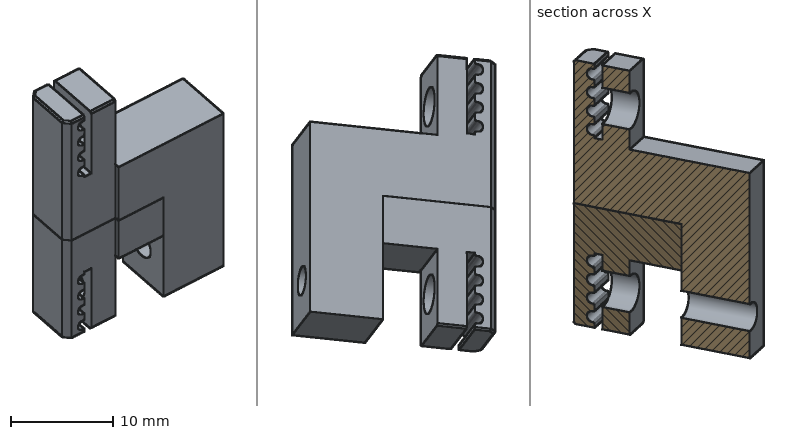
import cadquery as cq

height = 28.5
depth = 19.0
block_width = 6.5

arm_width = 6.0
arm_depth = 6.07
corner_chamfer = 0.65
end_chamfer = 0.2

block_top = 20.0
split_height = 13.0
recess_depth = 11.6
clamp_underside = 8.0

slot_length = 8.0
slot_front = 2.25
slot_back = 3.08
tooth_count = 4
tooth_pitch = 2.0
first_tooth_offset = 0.85
tooth_radius = 0.555
tooth_depth = 0.8
tooth_lip_radius = 0.15

screw_diameter = 2.9
screw_height = 4.4

arm_hole_diameter = 3.9


def box(x_size, y_range, z_range):
    """Box starting at x = 0 and spanning the given y and z ranges."""
    size = (x_size, y_range[1] - y_range[0], z_range[1] - z_range[0])
    return cq.Workplane().box(*size, centered=False).translate((0, y_range[0], z_range[0]))


def arm(z_range, open_face):
    """Front section with bevelled vertical corners and a chamfered open end."""
    body = box(arm_width, (0, arm_depth), z_range)
    body = body.faces("<Y").edges("|Z").chamfer(corner_chamfer)
    return body.faces(open_face).edges("not >Y").chamfer(end_chamfer)


def tooth_groove(z):
    """Rounded tooth groove whose mouth has rounded lips."""
    bottom = slot_front - tooth_depth
    mouth = tooth_radius + tooth_lip_radius
    lip_start = slot_front - tooth_lip_radius
    diagonal = tooth_lip_radius * (1 - 0.5**0.5)
    return (
        cq.Workplane("YZ")
        .moveTo(slot_back, z - mouth)
        .lineTo(slot_front, z - mouth)
        .threePointArc((slot_front - diagonal, z - tooth_radius - diagonal), (lip_start, z - tooth_radius))
        .lineTo(bottom + tooth_radius, z - tooth_radius)
        .threePointArc((bottom, z), (bottom + tooth_radius, z + tooth_radius))
        .lineTo(lip_start, z + tooth_radius)
        .threePointArc((slot_front - diagonal, z + tooth_radius + diagonal), (slot_front, z + mouth))
        .lineTo(slot_back, z + mouth)
        .close()
        .extrude(arm_width)
    )


def belt_slot(closed_end, direction):
    """Toothed slot running from its closed end up (+1) or down (-1) to the open end."""
    open_end = closed_end + direction * slot_length
    slot = box(arm_width, (slot_front, slot_back), sorted((closed_end, open_end)))
    for i in range(tooth_count):
        slot = slot.union(tooth_groove(closed_end + direction * (first_tooth_offset + i * tooth_pitch)))
    return slot


def hole_along_y(diameter, y_range, z):
    """Cylinder along Y on the centre line of the arm."""
    return (
        cq.Workplane("XZ", origin=(arm_width / 2, y_range[1], z))
        .circle(diameter / 2)
        .extrude(y_range[1] - y_range[0])
    )


def make_block():
    """Main block with the upper belt arm, the front recess and its two holes."""
    body = box(block_width, (arm_depth, depth), (0, block_top))
    body = body.cut(box(block_width, (arm_depth, recess_depth), (0, split_height)))
    body = body.union(arm((split_height, height), ">Z"))
    body = body.cut(belt_slot(height - slot_length, 1))
    body = body.cut(hole_along_y(arm_hole_diameter, (slot_back, arm_depth), height - screw_height))
    return body.cut(hole_along_y(screw_diameter, (recess_depth, depth), screw_height))


def make_clamp():
    """Lower clamp piece with the lower belt arm and its hole."""
    body = box(block_width, (arm_depth, recess_depth), (clamp_underside, split_height))
    body = body.union(arm((0, split_height), "<Z"))
    body = body.cut(belt_slot(slot_length, -1))
    return body.cut(hole_along_y(arm_hole_diameter, (slot_back, arm_depth), screw_height))


block = make_block()
clamp = make_clamp()

result = cq.Compound.makeCompound([block.val(), clamp.val()])